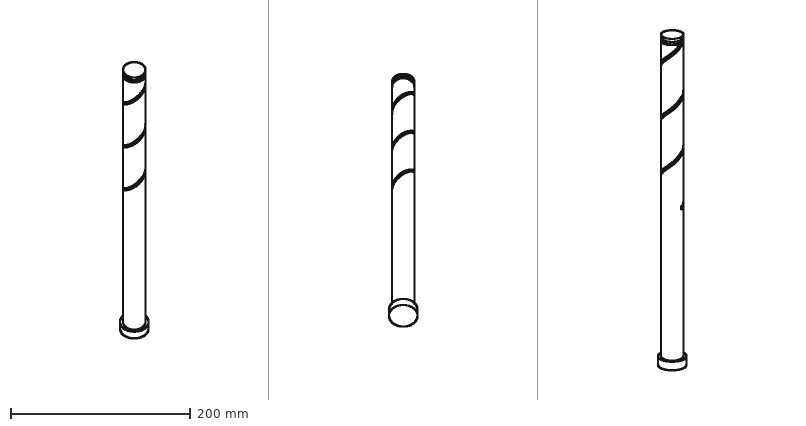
import cadquery as cq

total_length = 400.0
head_diameter = 32.0
head_height = 10.5
shaft_diameter = 25.0

ring_groove_diameter = 20.5
ring_groove_width = 4.0
end_collar_height = 3.5

spiral_turns = 3
spiral_pitch = 66.5
spiral_start_z = 193.0
spiral_section_radius = 1.5

shaft_radius = shaft_diameter / 2


def make_pin():
    """Round shaft standing on a wider head."""
    shaft = cq.Workplane("XY").circle(shaft_radius).extrude(total_length)
    head = cq.Workplane("XY").circle(head_diameter / 2).extrude(head_height)
    return shaft.union(head)


def make_ring_groove():
    """Ring of material removed just below the end collar."""
    bottom_z = total_length - end_collar_height - ring_groove_width
    return (
        cq.Workplane("XY")
        .workplane(offset=bottom_z)
        .circle(head_diameter / 2)
        .circle(ring_groove_diameter / 2)
        .extrude(ring_groove_width)
    )


def make_spiral_groove():
    """Round section swept along a helix on the shaft surface, starting on the +Y side."""
    helix = cq.Wire.makeHelix(spiral_pitch, spiral_pitch * spiral_turns, shaft_radius)
    sweep = (
        cq.Workplane("XZ", origin=(shaft_radius, 0, 0))
        .circle(spiral_section_radius)
        .sweep(cq.Workplane(obj=helix), isFrenet=True)
    )
    return sweep.rotate((0, 0, 0), (0, 0, 1), 90).translate((0, 0, spiral_start_z))


result = make_pin().cut(make_spiral_groove()).cut(make_ring_groove())